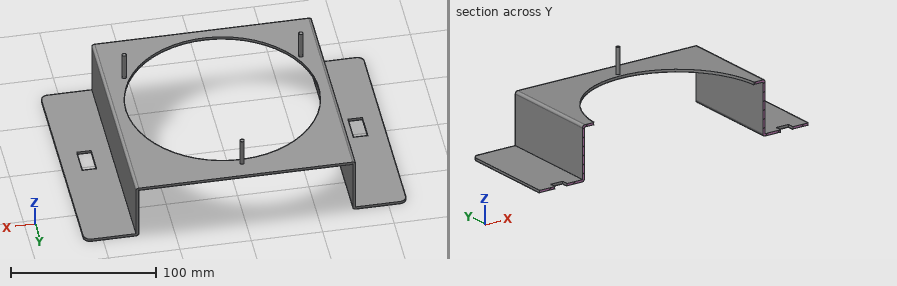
import cadquery as cq

length = 226.0
depth = 160.0
height = 62.0

thickness = 2.0
bend_radius = thickness
pin_height = 20.0
deck_height = height - pin_height
deck_width = 154.0
corner_radius = 5.0

opening_diameter = 135.0
opening_y = -5.0
slot_length = 20.0
slot_width = 10.0

pin_count = 3
pin_diameter = 3.0
pin_circle_radius = 71.5
first_pin_angle = 90

foot_length = (length - deck_width) / 2
slot_offset = (length - foot_length) / 2


def block(width, z_bottom, z_top):
    """Box centred on the Z axis, running the full depth of the bracket."""
    return (
        cq.Workplane("XY")
        .workplane(offset=z_bottom)
        .rect(width, depth)
        .extrude(z_top - z_bottom)
    )


def folded_sheet():
    """Raised deck on two webs with outward feet, rounded on the outside of each bend."""
    deck = block(deck_width, 0, deck_height)
    deck = deck.edges("|Y and >Z").fillet(bend_radius)
    feet = block(length, 0, thickness)
    feet = feet.edges("|Z").fillet(corner_radius)
    channel = block(deck_width - 2 * thickness, 0, deck_height - thickness)
    cut_sheet = deck.union(feet).cut(channel)
    inner_wall = deck_width / 2 - thickness
    lower_bends = cq.selectors.BoxSelector(
        (-inner_wall - thickness / 2, -depth, -thickness / 2),
        (inner_wall + thickness / 2, depth, thickness / 2),
    )
    return cut_sheet.edges("|Y").edges(lower_bends).fillet(bend_radius)


def cut_openings(sheet):
    """Round opening through the deck and a rectangular slot through each foot."""
    opening = cq.Workplane("XY").center(0, opening_y).circle(opening_diameter / 2).extrude(height)
    slots = (
        cq.Workplane("XY")
        .pushPoints([(-slot_offset, opening_y), (slot_offset, opening_y)])
        .rect(slot_width, slot_length)
        .extrude(thickness)
    )
    return sheet.cut(opening).cut(slots)


def pins():
    """Pins spaced evenly around the opening, rooted in the deck."""
    return (
        cq.Workplane("XY")
        .workplane(offset=deck_height - thickness)
        .center(0, opening_y)
        .polarArray(pin_circle_radius, first_pin_angle, 360, pin_count)
        .circle(pin_diameter / 2)
        .extrude(pin_height + thickness)
    )


result = cut_openings(folded_sheet()).union(pins())